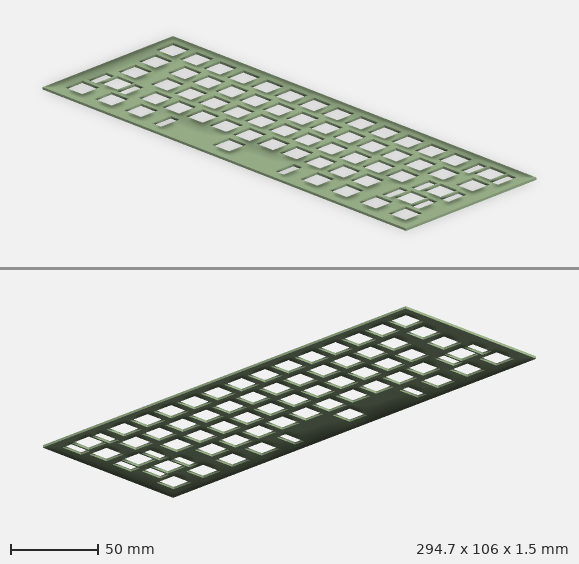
import cadquery as cq

plate_length = 294.7
plate_width = 106.0
plate_thickness = 1.5

row_units = 15
side_margin = 4.5
key_pitch = (plate_length - 2 * side_margin) / row_units
grid_shift_y = 1.0

web_between_switches = 5.0
switch_size = key_pitch - web_between_switches

slot_width = 7.0
slot_length = 15.0
slot_drop = 1.5
wide_key_slot_offset = 11.8
spacebar_slot_offset = 49.8

wide_key_units = 2
spacebar_units = 6.25

key_rows = [
    [1] * 13 + [2],
    [1.5] + [1] * 12 + [1.5],
    [1.75] + [1] * 11 + [2.25],
    [2.25] + [1] * 10 + [2.75],
    [1.25] * 3 + [spacebar_units] + [1.25] * 4,
]


def row_y(row_index):
    """Y of a row's switch centres; the middle row sits on the grid centre."""
    middle_row = (len(key_rows) - 1) / 2
    return grid_shift_y + (middle_row - row_index) * key_pitch


def slot_offset(key_units):
    """X distance from the key centre to each stabilizer slot."""
    if key_units == spacebar_units:
        return spacebar_slot_offset
    return wide_key_slot_offset


def opening_centres():
    """Centres of all switch openings and all stabilizer slots."""
    switches = []
    slots = []
    for row_index, key_widths in enumerate(key_rows):
        y = row_y(row_index)
        key_left = -row_units * key_pitch / 2
        for key_units in key_widths:
            key_width = key_units * key_pitch
            x = key_left + key_width / 2
            switches.append((x, y))
            if key_units >= wide_key_units:
                offset = slot_offset(key_units)
                slots.append((x - offset, y - slot_drop))
                slots.append((x + offset, y - slot_drop))
            key_left += key_width
    return switches, slots


switch_centres, slot_centres = opening_centres()

result = (
    cq.Workplane("XY")
    .box(plate_length, plate_width, plate_thickness)
    .faces(">Z")
    .workplane(origin=(0, 0, 0))
    .pushPoints(switch_centres)
    .rect(switch_size, switch_size)
    .cutThruAll()
    .faces(">Z")
    .workplane(origin=(0, 0, 0))
    .pushPoints(slot_centres)
    .rect(slot_width, slot_length)
    .cutThruAll()
)